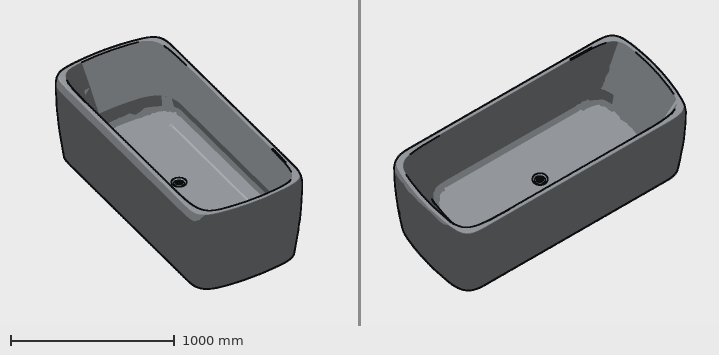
import cadquery as cq
import math

TUB_LENGTH = 1800.0
TUB_WIDTH = 800.0
TUB_HEIGHT = 600.0
BAND_HEIGHT = 60.0
CREASE_Z = TUB_HEIGHT - BAND_HEIGHT
END_BOW_RADIUS = 1530.0
SHELL_CORNER_X = 690.0
SHELL_CORNER_Y = 207.0
CREASE_FULLNESS = 0.86

SKIN_LEVELS = [
    (0.0, 38.0, 0.75),
    (CREASE_Z / 3, 16.0, 0.79),
    (CREASE_Z * 2 / 3, 4.0, 0.83),
    (CREASE_Z, 0.0, CREASE_FULLNESS),
]
BAND_LEVELS = [
    (CREASE_Z, 0.0, CREASE_FULLNESS),
    (CREASE_Z + BAND_HEIGHT / 2, 4.0, CREASE_FULLNESS),
    (TUB_HEIGHT, 15.0, CREASE_FULLNESS),
]
RIM_OUTER_FILLET = 9.0
RIM_INNER_FILLET = 5.0

FLOOR_Z = 164.0
BASIN_LEVELS = [
    (FLOOR_Z, 659.0, 324.0, 133.0, 0.55),
    (297.0, 698.0, 330.0, 145.0, 0.67),
    (450.0, 781.0, 345.0, 157.0, 0.8),
    (TUB_HEIGHT, 862.0, 358.0, 171.0, 0.9),
]
BASIN_CORNER_X = 497.0
FLOOR_FILLET = 94.0

DISH_RADIUS = 47.0
DISH_DEPTH = 10.0
FLANGE_RADIUS = 32.0
FLANGE_HEIGHT = 36.0
FLANGE_RISE = 5.0
PLUG_RADIUS = 20.0
PLUG_CHAMFER = 4.0
PLUG_HOLE_RADIUS = 7.0
PLUG_HOLE_DEPTH = 5.0
FLANGE_EDGE_Z = FLOOR_Z - DISH_DEPTH
DRAIN_BOTTOM_Z = FLANGE_EDGE_Z - FLANGE_HEIGHT


def bowed_outline(z, half_length, half_width, corner_x, corner_y, fullness):
    """Closed outline at height z with straight long sides, bowed ends and smooth corners.

    Each corner is a Bezier curve from (corner_x, half_width) to the end arc at corner_y. Its
    handles reach the fraction `fullness` of the way to the point where the tangents meet.
    """
    arc_center_x = half_length - END_BOW_RADIUS
    end_x = arc_center_x + math.sqrt(END_BOW_RADIUS**2 - corner_y**2)
    end_slope = corner_y / (end_x - arc_center_x)
    sharp_x = end_x - end_slope * (half_width - corner_y)
    side_handle = (corner_x + fullness * (sharp_x - corner_x), half_width)
    end_handle = (
        end_x + fullness * (sharp_x - end_x),
        corner_y + fullness * (half_width - corner_y),
    )
    corner = [(corner_x, half_width), side_handle, end_handle, (end_x, corner_y)]

    def placed_corner(sign_x, sign_y):
        return [(sign_x * x, sign_y * y) for x, y in corner]

    return (
        cq.Workplane("XY", origin=(0, 0, z))
        .moveTo(-corner_x, half_width)
        .lineTo(corner_x, half_width)
        .bezier(placed_corner(1, 1))
        .threePointArc((half_length, 0), (end_x, -corner_y))
        .bezier(placed_corner(1, -1)[::-1])
        .lineTo(-corner_x, -half_width)
        .bezier(placed_corner(-1, -1))
        .threePointArc((-half_length, 0), (-end_x, corner_y))
        .bezier(placed_corner(-1, 1)[::-1])
        .close()
        .val()
    )


def shell_loft(levels):
    outlines = [
        bowed_outline(
            z, TUB_LENGTH / 2 - inset, TUB_WIDTH / 2 - inset, SHELL_CORNER_X, SHELL_CORNER_Y, fullness
        )
        for z, inset, fullness in levels
    ]
    return cq.Workplane(cq.Solid.makeLoft(outlines))


def make_shell():
    """Outer form of the tub, with its rim edge rounded."""
    band = shell_loft(BAND_LEVELS).faces(">Z").edges().fillet(RIM_OUTER_FILLET)
    return shell_loft(SKIN_LEVELS).union(band)


def make_basin():
    """Space inside the tub, rounded where the walls meet the floor."""
    outlines = [
        bowed_outline(z, half_length, half_width, BASIN_CORNER_X, corner_y, fullness)
        for z, half_length, half_width, corner_y, fullness in BASIN_LEVELS
    ]
    return cq.Workplane(cq.Solid.makeLoft(outlines, True)).faces("<Z").edges().fillet(FLOOR_FILLET)


def make_drain_pocket():
    """Conical dish in the floor, with a round seat for the flange below it."""
    return (
        cq.Workplane("XZ")
        .moveTo(0, DRAIN_BOTTOM_Z)
        .lineTo(FLANGE_RADIUS, DRAIN_BOTTOM_Z)
        .lineTo(FLANGE_RADIUS, FLANGE_EDGE_Z)
        .lineTo(DISH_RADIUS, FLOOR_Z)
        .lineTo(0, FLOOR_Z)
        .close()
        .revolve(360, (0, 0), (0, 1))
    )


def make_tub():
    open_tub = make_shell().cut(make_basin())
    basin_mouth = open_tub.faces(">Z").val().innerWires()[0]
    rounded_tub = open_tub.newObject(basin_mouth.Edges()).fillet(RIM_INNER_FILLET)
    return rounded_tub.cut(make_drain_pocket())


def make_flange():
    """Ring with a top face that rises towards the bore."""
    return (
        cq.Workplane("XZ")
        .moveTo(PLUG_RADIUS, DRAIN_BOTTOM_Z)
        .lineTo(FLANGE_RADIUS, DRAIN_BOTTOM_Z)
        .lineTo(FLANGE_RADIUS, FLANGE_EDGE_Z)
        .lineTo(PLUG_RADIUS, FLANGE_EDGE_Z + FLANGE_RISE)
        .close()
        .revolve(360, (0, 0), (0, 1))
    )


def make_plug():
    """Round plug filling the flange bore, with a chamfered top and a blind centre hole."""
    height = FLANGE_HEIGHT + FLANGE_RISE + PLUG_CHAMFER
    return (
        cq.Workplane("XY", origin=(0, 0, DRAIN_BOTTOM_Z))
        .circle(PLUG_RADIUS)
        .extrude(height)
        .faces(">Z")
        .chamfer(PLUG_CHAMFER)
        .faces(">Z")
        .workplane()
        .hole(2 * PLUG_HOLE_RADIUS, PLUG_HOLE_DEPTH)
    )


tub = make_tub()
flange = make_flange()
plug = make_plug()

result = cq.Compound.makeCompound([tub.val(), flange.val(), plug.val()])